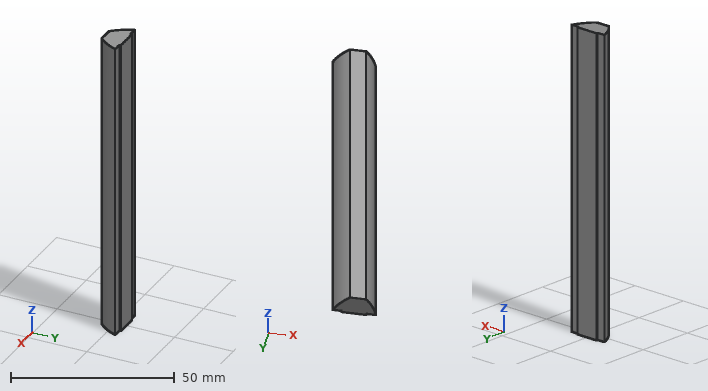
import cadquery as cq

length = 100.0
width = 13.5
depth = 7.2

base_width = 5.0
pad_width = 7.8
pad_height = 0.5
flank_mid_x = 5.2
flank_mid_y = 3.4

shoulder_y = depth - pad_height

section = (
    cq.Workplane("XY")
    .moveTo(-base_width / 2, 0)
    .lineTo(base_width / 2, 0)
    .threePointArc((flank_mid_x, flank_mid_y), (width / 2, shoulder_y))
    .lineTo(pad_width / 2, shoulder_y)
    .lineTo(pad_width / 2, depth)
    .lineTo(-pad_width / 2, depth)
    .lineTo(-pad_width / 2, shoulder_y)
    .lineTo(-width / 2, shoulder_y)
    .threePointArc((-flank_mid_x, flank_mid_y), (-base_width / 2, 0))
    .close()
)

result = section.extrude(length)